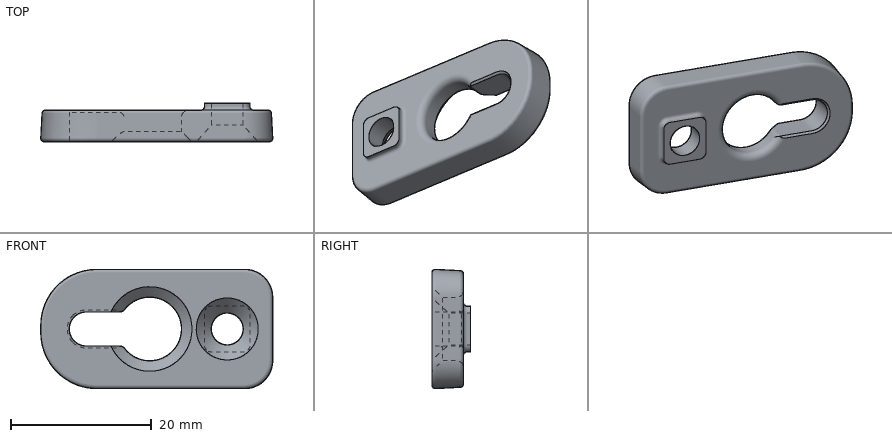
import cadquery as cq
import math

length = 33.0
height = 17.0
thickness = 4.5
draft_angle = 3.0
round_end_radius = 8.0
square_end_radius = 4.0
edge_fillet = 0.5

screw_x = 26.5
screw_diameter = 4.5
screw_sink_diameter = 8.8
screw_sink_depth = 2.4

boss_size = 6.5
boss_height = 1.0
boss_corner_radius = 1.0
boss_root_fillet = 0.5

entry_x = 15.5
entry_diameter = 9.0
entry_sink_diameter = 12.0
entry_sink_depth = 1.5
slot_width = 4.8
slot_end_x = 6.5
keyhole_blend_radius = 1.0
entry_back_fillet = 1.0
slot_back_chamfer = 0.3

pick_margin = 0.1


def sketch_plane(x, y):
    """Workplane at depth y, centred on (x, y, 0), with local x along X and local y along Z."""
    return cq.Workplane("XZ", origin=(x, y, 0))


def wall_edges(x_min, x_max, z_min, z_max):
    """Selector for edges that run front to back, by the region their midpoints lie in."""
    return cq.selectors.BoxSelector((x_min, thickness / 4, z_min), (x_max, thickness * 3 / 4, z_max))


def back_face_edges(x_min, x_max, half_height):
    """Selector for edges lying on the plate's back face in a region centred on Z = 0."""
    return cq.selectors.BoxSelector(
        (x_min, thickness - pick_margin, -half_height), (x_max, thickness + pick_margin, half_height)
    )


def make_plate():
    """Drafted plate: the upper round corner narrows with the draft, the other corners keep their radius."""
    half = height / 2
    plate = (
        sketch_plane(0, 0)
        .moveTo(0, -half)
        .lineTo(length, -half)
        .lineTo(length, half)
        .lineTo(round_end_radius, half)
        .radiusArc((0, half - round_end_radius), -round_end_radius)
        .close()
        .extrude(-thickness, taper=draft_angle)
    )
    lower_left = wall_edges(0, length / 2, -half, 0)
    right_pair = wall_edges(length / 2, length, -half, half)
    plate = plate.edges(lower_left).fillet(round_end_radius)
    plate = plate.edges(right_pair).fillet(square_end_radius)
    return plate.faces("<Y or >Y").edges().fillet(edge_fillet)


def add_boss(plate):
    """Square boss with rounded corners and a fillet where it meets the back face."""
    boss = (
        sketch_plane(screw_x, thickness)
        .rect(boss_size, boss_size)
        .extrude(-boss_height)
        .edges("|Y")
        .fillet(boss_corner_radius)
    )
    half = boss_size / 2 + pick_margin
    root = back_face_edges(screw_x - half, screw_x + half, half)
    return plate.union(boss).edges(root).fillet(boss_root_fillet)


def make_sink(x, hole_diameter, sink_diameter, depth):
    """Cone that narrows from sink_diameter on the front face to hole_diameter at the given depth."""
    cone = cq.Solid.makeCone(
        sink_diameter / 2, hole_diameter / 2, depth, cq.Vector(x, 0, 0), cq.Vector(0, 1, 0)
    )
    return cq.Workplane(cone)


def make_keyhole():
    """Entry hole and slot, with the corners between them rounded."""
    entry = sketch_plane(entry_x, 0).circle(entry_diameter / 2).extrude(-thickness)
    slot_length = entry_x - slot_end_x
    slot = sketch_plane(slot_end_x + slot_length / 2, 0).rect(slot_length, slot_width).extrude(-thickness)
    slot_end = sketch_plane(slot_end_x, 0).circle(slot_width / 2).extrude(-thickness)
    keyhole = entry.union(slot).union(slot_end)
    corner_x = entry_x - math.sqrt((entry_diameter / 2) ** 2 - (slot_width / 2) ** 2)
    corners = wall_edges(corner_x - pick_margin, corner_x + pick_margin, -slot_width, slot_width)
    return keyhole.edges(corners).fillet(keyhole_blend_radius)


def make_entry_flare():
    """Convex rounding of the entry hole's back rim, as a solid of revolution about the hole's axis."""
    rim_radius = entry_diameter / 2
    bend = math.radians(45)
    flare_start = thickness - entry_back_fillet
    mid_radius = rim_radius + entry_back_fillet * (1 - math.cos(bend))
    mid_depth = flare_start + entry_back_fillet * math.sin(bend)
    return (
        cq.Workplane("XY", origin=(entry_x, 0, 0))
        .moveTo(0, flare_start)
        .lineTo(rim_radius, flare_start)
        .threePointArc((mid_radius, mid_depth), (rim_radius + entry_back_fillet, thickness))
        .lineTo(0, thickness)
        .close()
        .revolve(360, (0, 0, 0), (0, 1, 0))
    )


def cut_keyhole(plate):
    """Cut the keyhole, chamfer its back rim and widen the entry part of that rim to the flare."""
    half = entry_diameter / 2 + pick_margin
    back_rim = back_face_edges(slot_end_x - half, entry_x + half, half)
    plate = plate.cut(make_keyhole()).edges(back_rim).chamfer(slot_back_chamfer)
    return plate.cut(make_entry_flare())


def make_screw_hole():
    """Straight hole through the plate and the boss."""
    return sketch_plane(screw_x, 0).circle(screw_diameter / 2).extrude(-(thickness + boss_height))


def make_part():
    part = add_boss(make_plate())
    part = cut_keyhole(part)
    part = part.cut(make_sink(entry_x, entry_diameter, entry_sink_diameter, entry_sink_depth))
    part = part.cut(make_screw_hole())
    return part.cut(make_sink(screw_x, screw_diameter, screw_sink_diameter, screw_sink_depth))


result = make_part()